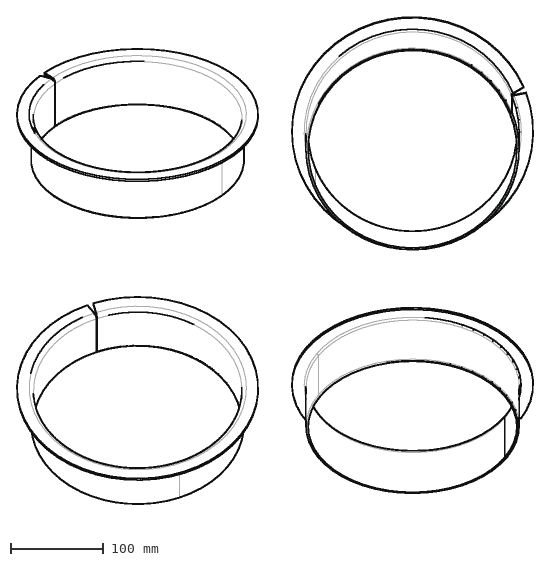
import cadquery as cq
import math

flange_radius = 130.0
height = 60.0
wall = 2.5
sleeve_radius = 115.0
bore_radius = sleeve_radius - wall

bend_inner = 2.0
bend_outer = bend_inner + wall
rim_round = 1.3

split_half_angle = 10.0
split_inner_gap = 0.8


def arc_point(center_x, center_z, radius, angle):
    """Point on an arc in the wall section, at an angle in degrees from +X."""
    a = math.radians(angle)
    return center_x + radius * math.cos(a), center_z + radius * math.sin(a)


def make_ring():
    """Revolve the L-shaped wall section about Z, base at Z = 0."""
    bend_x = sleeve_radius + bend_inner
    bend_z = height - bend_outer
    rim_x = sleeve_radius - rim_round
    section = (
        cq.Workplane("XZ")
        .moveTo(bore_radius, 0)
        .lineTo(rim_x, 0)
        .threePointArc(
            arc_point(rim_x, rim_round, rim_round, -45),
            (sleeve_radius, rim_round),
        )
        .lineTo(sleeve_radius, bend_z)
        .threePointArc(
            arc_point(bend_x, bend_z, bend_inner, 135),
            (bend_x, height - wall),
        )
        .lineTo(flange_radius, height - wall)
        .lineTo(flange_radius, height)
        .lineTo(bend_x, height)
        .threePointArc(
            arc_point(bend_x, bend_z, bend_outer, 135),
            (bore_radius, bend_z),
        )
        .close()
    )
    return section.revolve(360, (0, 0, 0), (0, 1, 0))


def make_split():
    """Wedge that opens outward from a narrow gap at the bore."""
    clearance = 2.5
    inner_x = bore_radius - clearance
    outer_x = flange_radius + clearance
    inner_half = split_inner_gap / 2
    outer_half = inner_half + (outer_x - bore_radius) * math.tan(math.radians(split_half_angle))
    return (
        cq.Workplane("XY")
        .polyline([
            (-inner_x, -inner_half),
            (-bore_radius, -inner_half),
            (-outer_x, -outer_half),
            (-outer_x, outer_half),
            (-bore_radius, inner_half),
            (-inner_x, inner_half),
        ])
        .close()
        .extrude(height)
    )


result = make_ring().cut(make_split())